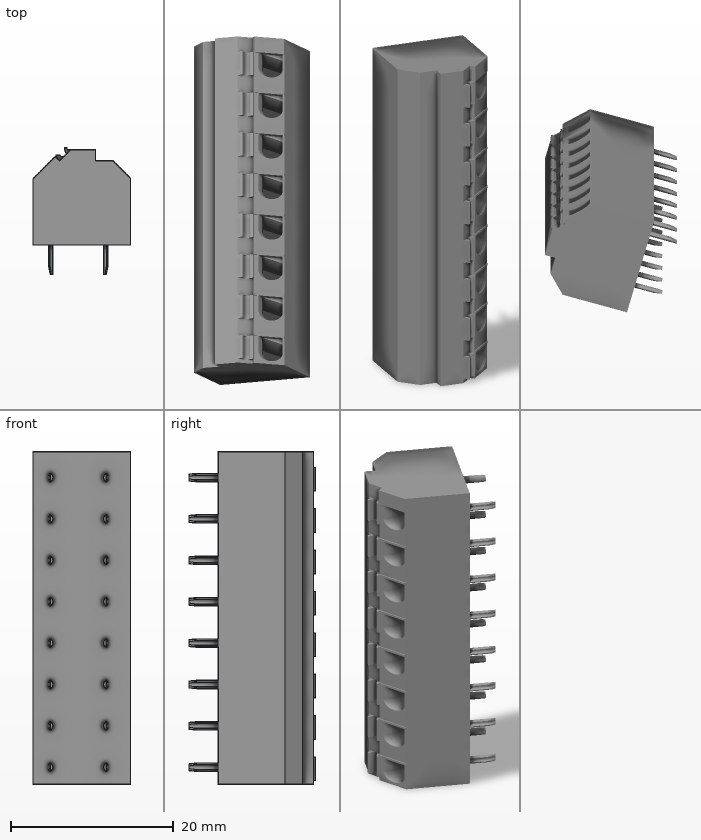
import cadquery as cq
import math

width = 12.0
height = 40.87
depth = 11.72
left_shoulder = 8.12
right_shoulder = 8.2
step_depth = 10.35
step_x = 7.7
peak_x = 2.75
groove_x = 3.28

pole_count = 8
pitch = 5.08
first_pole_drop = 1.93
recess_height = 4.82
recess_inset = 0.15

entry_near_x = 0.2
entry_width = 2.23
entry_straight = 2.0
entry_round = 1.0
bend_depth = 9.25
bore_tilt = 22.0
bore_length = 3.0
ceiling_slope = 0.33

lever_height = 2.92
lever_rise = 0.24
lever_near_x = 3.9
lever_thickness = 0.32
lever_under_depth = 11.65
lever_under_tilt = 22.0
ledge_depth = 11.05
shelf_depth = 10.9
filler_flat_end_x = 3.3

pin_length = 3.6
pin_half_height = 0.525
pin_width = 0.53
pin_shoulder = 0.2
pin_lip_height = 0.33
pin_inner_radius = 0.26
pin_tip_length = 1.0
pin_tip_inset_x = 0.22
pin_tip_inset_z = 0.1
pin_drop = 1.265
left_pin_x = 1.92
right_pin_x = 9.22
root_overlap = 0.2

peak_depth = left_shoulder + peak_x
groove_depth = peak_depth - (groove_x - peak_x)
crest_x = groove_x + depth - groove_depth
ledge_end_x = width - (step_depth - right_shoulder)
lever_under_slope = math.tan(math.radians(lever_under_tilt))
slope_shift = recess_inset * math.sqrt(2)
entry_far_x = entry_near_x + entry_width


def prism(points, z_low, length):
    """Extrude an XY outline upward from z_low."""
    return cq.Workplane("XY").workplane(offset=z_low).polyline(points).close().extrude(length)


def make_housing():
    return prism(
        [
            (0, 0),
            (width, 0),
            (width, right_shoulder),
            (ledge_end_x, step_depth),
            (step_x, step_depth),
            (step_x, depth),
            (crest_x, depth),
            (groove_x, groove_depth),
            (peak_x, peak_depth),
            (0, left_shoulder),
        ],
        0,
        height,
    )


def make_recess(z_top):
    """Thin slab taken off the sloped entry face, running out past both of its ends."""
    reach = peak_x + slope_shift
    return prism(
        [
            (0, left_shoulder - slope_shift),
            (reach, left_shoulder - slope_shift + reach),
            (reach - slope_shift, left_shoulder + reach),
            (-slope_shift, left_shoulder - slope_shift),
        ],
        z_top - recess_height,
        recess_height,
    )


def make_entry(z_top):
    """Mouth straight along Y, then a tilted bore starting on a plane parallel to the sloped face."""
    z_flat = z_top - entry_straight
    z_low = z_flat - entry_round
    near_bend_depth = bend_depth - entry_width

    mouth_region = prism(
        [
            (entry_near_x, near_bend_depth),
            (entry_far_x, bend_depth),
            (entry_far_x, depth),
            (entry_near_x, depth),
        ],
        z_low,
        z_top - z_low,
    )
    mouth = (
        cq.Workplane("XZ", origin=(0, depth, 0))
        .moveTo(entry_near_x, z_top)
        .lineTo(entry_far_x, z_top)
        .lineTo(entry_far_x, z_flat)
        .threePointArc((entry_near_x + entry_width / 2, z_low), (entry_near_x, z_flat))
        .close()
        .extrude(depth)
        .intersect(mouth_region)
    )

    bore_shift = bore_length * math.tan(math.radians(bore_tilt))
    bore_start = mouth.faces("<Y").val()
    bore = cq.Workplane(cq.Solid.extrudeLinear(bore_start, cq.Vector(bore_shift, -bore_length, 0)))

    bore_end_depth = near_bend_depth - bore_length
    ceiling_drop = (bend_depth - bore_end_depth) * ceiling_slope
    ceiling = (
        cq.Workplane("YZ", origin=(entry_near_x, 0, 0))
        .polyline([(bend_depth, z_top), (bore_end_depth, z_top), (bore_end_depth, z_top - ceiling_drop)])
        .close()
        .extrude(entry_width + bore_shift)
    )
    return mouth.union(bore.cut(ceiling))


def make_lever_pocket(z_top):
    """Triangular undercut behind the groove wall, below the lever tip."""
    wall_x = groove_x + shelf_depth - groove_depth
    far_x = lever_near_x + (lever_under_depth - shelf_depth) * lever_under_slope
    return prism(
        [(wall_x, shelf_depth), (far_x, shelf_depth), (lever_near_x, lever_under_depth)],
        z_top - lever_height,
        lever_height,
    )


def make_lever_tip(z_top):
    lever_far_x = lever_near_x + lever_thickness
    gap_to_wall = lever_under_depth - groove_depth - (lever_near_x - groove_x)
    under_x = lever_near_x + gap_to_wall * lever_under_slope / (1 + lever_under_slope)
    wall_depth = groove_depth + under_x - groove_x
    return prism(
        [
            (lever_near_x, lever_under_depth),
            (under_x, wall_depth),
            (crest_x, depth),
            (lever_far_x, depth),
            (lever_far_x, depth + lever_rise),
            (lever_near_x, depth + lever_rise),
        ],
        z_top - lever_height,
        lever_height,
    )


def make_groove_filler(z_top):
    """Lever foot that fills the bottom of the V groove."""
    foot_x = peak_x + slope_shift / 2
    foot_depth = peak_depth - slope_shift / 2
    shelf_x = filler_flat_end_x + ledge_depth - shelf_depth
    wall_x = groove_x + shelf_depth - groove_depth
    return prism(
        [
            (foot_x, foot_depth),
            (groove_x, groove_depth),
            (wall_x, shelf_depth),
            (shelf_x, shelf_depth),
            (filler_flat_end_x, ledge_depth),
            (foot_x, ledge_depth),
        ],
        z_top - lever_height,
        lever_height,
    )


def make_pin(x_open, z_centre, bulge):
    """Channel-shaped pin; bulge is +1 or -1, the X direction of its convex side."""
    shoulder_x = bulge * pin_shoulder
    section = (
        cq.Workplane("XZ", origin=(x_open, root_overlap, z_centre))
        .moveTo(0, pin_lip_height)
        .lineTo(shoulder_x, pin_half_height)
        .threePointArc((bulge * pin_width, 0), (shoulder_x, -pin_half_height))
        .lineTo(0, -pin_lip_height)
        .lineTo(0, -pin_inner_radius)
        .threePointArc((bulge * pin_inner_radius, 0), (0, pin_inner_radius))
        .close()
        .extrude(pin_length + root_overlap)
    )
    taper_start = pin_tip_length - pin_length
    side_taper = (
        cq.Workplane("XY", origin=(x_open, 0, z_centre))
        .polyline(
            [
                (0, root_overlap),
                (0, taper_start),
                (bulge * pin_tip_inset_x, -pin_length),
                (bulge * pin_width, -pin_length),
                (bulge * pin_width, root_overlap),
            ]
        )
        .close()
        .extrude(pin_width, both=True)
    )
    tip_half_height = pin_half_height - pin_tip_inset_z
    height_taper = (
        cq.Workplane("YZ", origin=(x_open, 0, z_centre))
        .polyline(
            [
                (root_overlap, pin_half_height),
                (taper_start, pin_half_height),
                (-pin_length, tip_half_height),
                (-pin_length, -tip_half_height),
                (taper_start, -pin_half_height),
                (root_overlap, -pin_half_height),
            ]
        )
        .close()
        .extrude(pin_width, both=True)
    )
    return section.intersect(side_taper).intersect(height_taper)


pockets = []
additions = []
for pole in range(pole_count):
    pole_top = height - first_pole_drop - pole * pitch
    pin_z = pole_top - pin_drop
    pockets += [make_recess(pole_top), make_entry(pole_top), make_lever_pocket(pole_top)]
    additions += [make_lever_tip(pole_top), make_groove_filler(pole_top)]
    additions += [make_pin(left_pin_x, pin_z, 1), make_pin(right_pin_x, pin_z, -1)]

housing = make_housing().val().cut(*[pocket.val() for pocket in pockets])
body = housing.fuse(*[addition.val() for addition in additions])
result = cq.Workplane(body.Solids()[0])